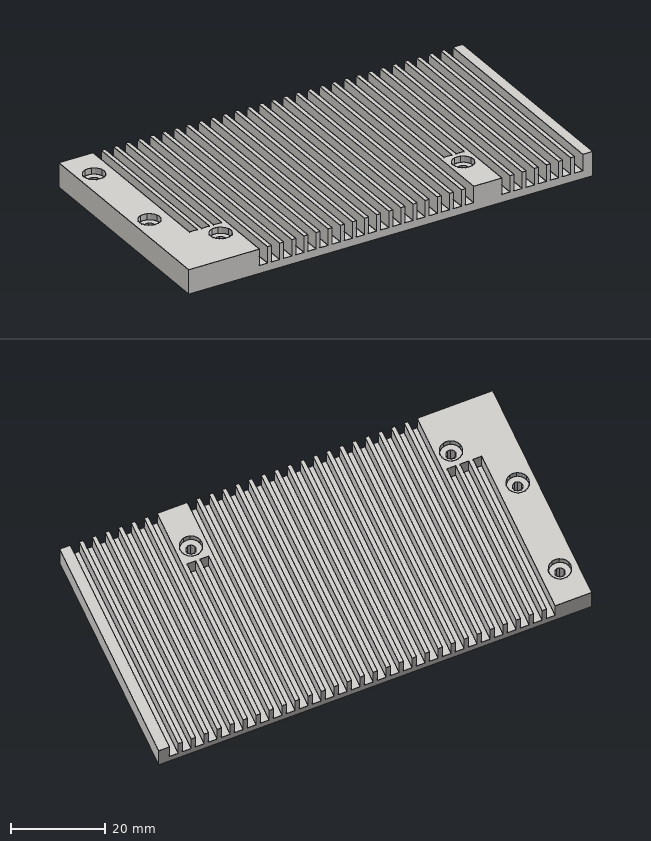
import cadquery as cq

PLATE_WIDTH = 54.0
PLATE_LENGTH = 100.0
PLATE_THICKNESS = 6.0

SLOT_COUNT = 30
SLOT_WIDTH = 2.0
SLOT_PITCH = 3.0
SLOT_DEPTH = 4.0
REAR_RIM = 2.5
SHORT_SLOT_LENGTH = 40.0
SHORT_SLOTS = (7, 8, 27, 28, 29)

HOLE_SIDES = 20
SCREW_DIAMETER = 2.2
COUNTERBORE_DIAMETER = 5.0
COUNTERBORE_DEPTH = 1.5
SIDE_SCREW_X = 43.75
FRONT_SCREW_Y = 4.0
SCREW_CENTRES = [
    (8.0, FRONT_SCREW_Y),
    (31.0, FRONT_SCREW_Y),
    (SIDE_SCREW_X, 14.0),
    (SIDE_SCREW_X, 74.0),
]

PAD_SIDE = 17.0
PAD_HEIGHT = 1.0
PAD_CORNER_X = 11.75
PAD_CORNER_Y = 29.5


def make_plate():
    return cq.Workplane("XY").box(PLATE_WIDTH, PLATE_LENGTH, PLATE_THICKNESS, centered=False)


def add_pad(body):
    pad = cq.Workplane("XY").box(PAD_SIDE, PAD_SIDE, PAD_HEIGHT, centered=False)
    return body.union(pad.translate((PAD_CORNER_X, PAD_CORNER_Y, -PAD_HEIGHT)))


def cut_slots(body):
    for index in range(SLOT_COUNT):
        length = SHORT_SLOT_LENGTH if index in SHORT_SLOTS else PLATE_WIDTH
        slot_y = PLATE_LENGTH - REAR_RIM - index * SLOT_PITCH - SLOT_WIDTH
        slot = cq.Workplane("XY").box(length, SLOT_WIDTH, SLOT_DEPTH, centered=False)
        body = body.cut(slot.translate((0, slot_y, PLATE_THICKNESS - SLOT_DEPTH)))
    return body


def screw_cutter(diameter, depth):
    return (
        cq.Workplane("XY", origin=(0, 0, PLATE_THICKNESS))
        .pushPoints(SCREW_CENTRES)
        .polygon(HOLE_SIDES, diameter)
        .extrude(-depth)
    )


def cut_screw_holes(body):
    body = body.cut(screw_cutter(COUNTERBORE_DIAMETER, COUNTERBORE_DEPTH))
    return body.cut(screw_cutter(SCREW_DIAMETER, PLATE_THICKNESS))


result = cut_screw_holes(cut_slots(add_pad(make_plate())))